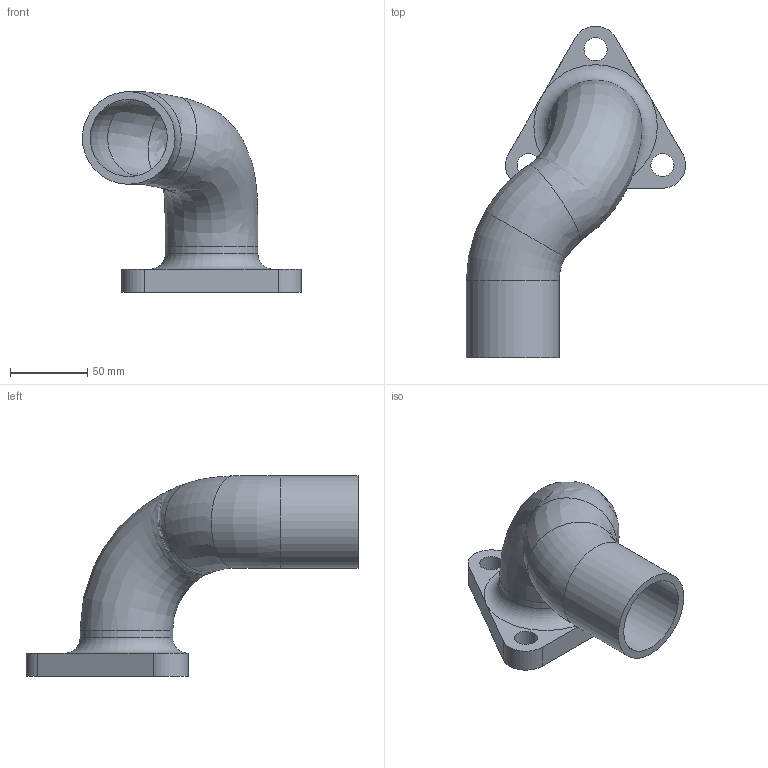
import cadquery as cq
import math

pipe_outer_radius = 30.0
pipe_bore_radius = 25.0

flange_thickness = 15.0
bolt_circle_radius = 50.0
bolt_hole_diameter = 15.0
corner_radius = 15.0
corner_angles = (90.0, 210.0, 330.0)
neck_fillet_radius = 10.0

riser_height = 30.0
rise_bend_radius = 70.0
swerve_radius = 60.0
swerve_length = 100.0
outlet_length = 50.0

axis_height = riser_height + rise_bend_radius
swerve_middle = swerve_length / 2
swerve_offset = 2 * (swerve_radius - math.sqrt(swerve_radius**2 - swerve_middle**2))
points_per_bend = 12


def swerve_x(reach):
    """X of the centreline, two equal tangent arcs, at a given distance towards -Y."""
    if reach <= swerve_middle:
        return math.sqrt(swerve_radius**2 - reach**2) - swerve_radius
    to_end = swerve_length - reach
    return swerve_radius - math.sqrt(swerve_radius**2 - to_end**2) - swerve_offset


def swerve_slope(reach):
    """Rate of change of X along the reach towards -Y."""
    to_nearest_end = min(reach, swerve_length - reach)
    return -to_nearest_end / math.sqrt(swerve_radius**2 - to_nearest_end**2)


def bend_point(angle):
    """Centreline point where the rising bend has turned through the angle."""
    reach = rise_bend_radius * (1 - math.cos(angle))
    return cq.Vector(swerve_x(reach), -reach, riser_height + rise_bend_radius * math.sin(angle))


def bend_tangent(angle):
    """Centreline direction where the rising bend has turned through the angle."""
    reach = rise_bend_radius * (1 - math.cos(angle))
    run = math.sin(angle)
    return cq.Vector(swerve_slope(reach) * run, -run, math.cos(angle)).normalized()


def bend_curve(start_angle, end_angle):
    """Smooth curve through centreline points, tangent to its neighbours at both ends."""
    step = (end_angle - start_angle) / points_per_bend
    points = [bend_point(start_angle + i * step) for i in range(points_per_bend + 1)]
    return cq.Edge.makeSpline(points, tangents=[bend_tangent(start_angle), bend_tangent(end_angle)])


def make_centreline():
    """Riser, double-curved bend in two halves, level arc and straight outlet."""
    middle_angle = math.acos(1 - swerve_middle / rise_bend_radius)
    level_angle = math.pi / 2
    level_start = bend_point(level_angle)
    outlet_start = cq.Vector(-swerve_offset, -swerve_length, axis_height)
    outlet_end = outlet_start - cq.Vector(0, outlet_length, 0)
    return cq.Wire.assembleEdges([
        cq.Edge.makeLine(cq.Vector(0, 0, 0), bend_point(0)),
        bend_curve(0, middle_angle),
        bend_curve(middle_angle, level_angle),
        cq.Edge.makeTangentArc(level_start, bend_tangent(level_angle), outlet_start),
        cq.Edge.makeLine(outlet_start, outlet_end),
    ])


def make_pipe(radius, centreline):
    """Solid rod of the given radius along the centreline."""
    return cq.Workplane("XY").circle(radius).sweep(cq.Workplane(obj=centreline))


def corner_point(angle):
    """Bolt hole centre at a flange corner, which is also the centre of the corner's rounding."""
    return (
        bolt_circle_radius * math.cos(math.radians(angle)),
        bolt_circle_radius * math.sin(math.radians(angle)),
    )


def make_flange():
    """Triangle round the bolt holes, widened by the corner radius with round corners."""
    corners = [corner_point(angle) for angle in corner_angles]
    plate = cq.Workplane("XY").polyline(corners).close().offset2D(corner_radius, "arc")
    plate = plate.extrude(flange_thickness)
    return plate.faces(">Z").workplane(origin=(0, 0, 0)).pushPoints(corners).hole(bolt_hole_diameter)


def make_neck():
    """Collar whose concave outside blends the flange into the pipe."""
    neck_top = flange_thickness + neck_fillet_radius
    foot_radius = pipe_outer_radius + neck_fillet_radius
    mid_fillet_gap = neck_fillet_radius * (1 - math.cos(math.pi / 4))
    return (
        cq.Workplane("XZ")
        .moveTo(0, flange_thickness)
        .lineTo(foot_radius, flange_thickness)
        .threePointArc(
            (pipe_outer_radius + mid_fillet_gap, flange_thickness + mid_fillet_gap),
            (pipe_outer_radius, neck_top),
        )
        .lineTo(0, neck_top)
        .close()
        .revolve(360, (0, 0), (0, 1))
    )


centreline = make_centreline()
outside = make_pipe(pipe_outer_radius, centreline)
bore = make_pipe(pipe_bore_radius, centreline)

result = make_flange().union(make_neck()).union(outside).cut(bore)